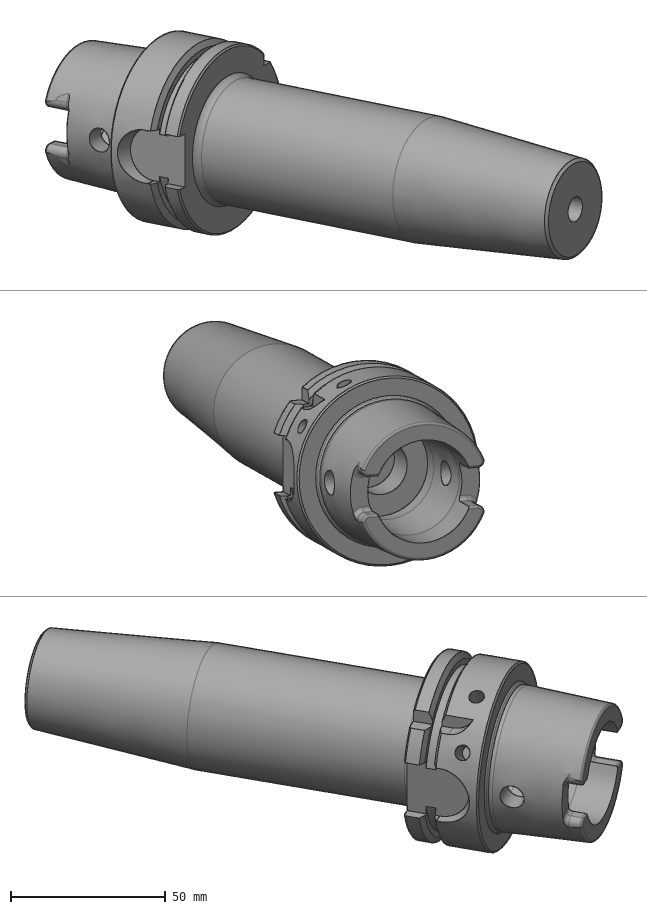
import cadquery as cq
import math

total_length = 192.0
flange_start = 32.0
flange_end = 58.0
taper_start = 135.0

tail_end_radius = 22.8
tail_root_radius = 24.2
tail_taper_end = 29.5
tail_edge_round = 0.8
root_flare_start = 31.0
root_flare_bend = 31.5
root_flare_bend_radius = 24.8
root_flare_radius = 25.2

flange_radius = 31.5
flange_chamfer = 0.5
groove_floor_start = 48.2
groove_floor_end = 51.5
groove_floor_radius = 27.5
groove_bevel_radius = 29.4
groove_bevel_slope = math.tan(math.radians(30))

body_radius = 21.0
body_root_round = 3.8
body_root_radius = 22.0
nose_radius = 16.7
nose_chamfer = 1.0

mouth_radius = 17.0
mouth_depth = 12.5
cavity_radius = 16.1
cavity_cone_end = 32.6
cavity_depth = 38.4
socket_radius = 9.0
socket_depth = 50.0
channel_radius = 4.2

slot_half_width = 6.3
slot_lip_round = 2.3
slot_lip_circle = 23.0
slot_flare_length = 8.6
slot_corner_round = 1.5
slot_inner_reach = 11.5
slot_outer_reach = 30.7
deep_slot_length = 10.0
shallow_slot_length = 6.1

margin = 0.2

cross_hole_x = 23.0
cross_hole_radius = 4.0

keyway_floor = 26.5
keyway_floor_end = 36.9
keyway_tilt = 20.0
keyway_reach = 9.6
narrow_keyway_width = 18.0
wide_keyway_width = 20.0

notch_offset = 20.0
notch_floor_start = 44.5
notch_cutter_radius = 7.7
screw_hole_x = 38.8
screw_hole_radius = 2.5
screw_hole_depth = 8.6
screw_hole_angles = (24, 60)


def make_body():
    bevel = (flange_radius - groove_bevel_radius) * groove_bevel_slope
    root_round_length = math.sqrt(
        body_root_round**2 - (body_root_round - body_root_radius + body_radius) ** 2
    )
    mid_angle = math.asin(root_round_length / body_root_round) / 2
    root_round_end = flange_end + root_round_length
    root_round_mid = (
        root_round_end - body_root_round * math.sin(mid_angle),
        body_radius + body_root_round * (1 - math.cos(mid_angle)),
    )
    profile = (
        cq.Workplane("XY")
        .moveTo(0, 0)
        .lineTo(0, tail_end_radius)
        .lineTo(tail_taper_end, tail_root_radius)
        .lineTo(root_flare_start, tail_root_radius)
        .lineTo(root_flare_bend, root_flare_bend_radius)
        .lineTo(flange_start, root_flare_radius)
        .lineTo(flange_start, flange_radius - flange_chamfer)
        .lineTo(flange_start + flange_chamfer, flange_radius)
        .lineTo(groove_floor_start - bevel, flange_radius)
        .lineTo(groove_floor_start, groove_bevel_radius)
        .lineTo(groove_floor_start, groove_floor_radius)
        .lineTo(groove_floor_end, groove_floor_radius)
        .lineTo(groove_floor_end, groove_bevel_radius)
        .lineTo(groove_floor_end + bevel, flange_radius)
        .lineTo(flange_end - flange_chamfer, flange_radius)
        .lineTo(flange_end, flange_radius - flange_chamfer)
        .lineTo(flange_end, body_root_radius)
        .threePointArc(root_round_mid, (root_round_end, body_radius))
        .lineTo(taper_start, body_radius)
        .lineTo(total_length - nose_chamfer, nose_radius)
        .lineTo(total_length, nose_radius - nose_chamfer)
        .lineTo(total_length, 0)
        .close()
    )
    return profile.revolve(360, (0, 0, 0), (1, 0, 0))


def make_cavity():
    profile = (
        cq.Workplane("XY")
        .moveTo(0, 0)
        .lineTo(0, mouth_radius)
        .lineTo(mouth_depth, mouth_radius)
        .lineTo(cavity_cone_end, cavity_radius)
        .lineTo(cavity_depth, cavity_radius)
        .lineTo(cavity_depth, socket_radius)
        .lineTo(socket_depth, socket_radius)
        .lineTo(socket_depth, channel_radius)
        .lineTo(total_length, channel_radius)
        .lineTo(total_length, 0)
        .close()
    )
    return profile.revolve(360, (0, 0, 0), (1, 0, 0))


def make_drive_slot(length, side):
    """Slot whose outer lips are rounded into the tail surface; side is the sign of Y."""
    lip_z = slot_half_width + slot_lip_round
    lip_angle = math.asin(lip_z / (slot_lip_circle - slot_lip_round))
    lip_y = (slot_lip_circle - slot_lip_round) * math.cos(lip_angle)

    def on_lip(angle):
        return (
            lip_y + slot_lip_round * math.cos(angle),
            lip_z + slot_lip_round * math.sin(angle),
        )

    wall_end = (lip_y, slot_half_width)
    lip_mid = on_lip((lip_angle - math.pi / 2) / 2)
    lip_end = on_lip(lip_angle)
    flare_end = (
        lip_end[0] - slot_flare_length * math.sin(lip_angle),
        lip_end[1] + slot_flare_length * math.cos(lip_angle),
    )

    def place(point, mirror=1):
        return (side * point[0], mirror * point[1])

    slot = (
        cq.Workplane("YZ")
        .moveTo(*place((slot_inner_reach, -slot_half_width)))
        .lineTo(*place((slot_inner_reach, slot_half_width)))
        .lineTo(*place(wall_end))
        .threePointArc(place(lip_mid), place(lip_end))
        .lineTo(*place(flare_end))
        .lineTo(*place((slot_outer_reach, flare_end[1])))
        .lineTo(*place((slot_outer_reach, -flare_end[1])))
        .lineTo(*place(flare_end, -1))
        .lineTo(*place(lip_end, -1))
        .threePointArc(place(lip_mid, -1), place(wall_end, -1))
        .close()
        .extrude(length)
    )
    half_height = 2 * lip_z
    end_wall_edges = cq.selectors.BoxSelector(
        (length - margin, side * (slot_inner_reach + margin), -half_height),
        (length + margin, side * (slot_outer_reach - margin), half_height),
    )
    return slot.faces(">X").edges(end_wall_edges).fillet(slot_corner_round)


def round_tail_end(part):
    """Round the outer rim of the tail end, around the slot lips as well."""

    def off_bore(edge):
        return edge.geomType() == "LINE" or abs(edge.radius() - mouth_radius) > margin

    return part.faces("<X").edges().filter(off_bore).fillet(tail_edge_round)


def make_keyway(width, side):
    """Flat-floored keyway, open toward +X, with a round end leaning outward toward -X."""
    lean = keyway_reach * math.tan(math.radians(keyway_tilt))
    radius = width / 2
    centre = keyway_floor_end + radius
    box = (
        cq.Workplane("XY")
        .box(flange_end - centre, keyway_reach, width, centered=(False, True, True))
        .translate((centre, side * (keyway_floor + keyway_reach / 2), 0))
    )
    base = cq.Wire.makeCircle(
        radius, cq.Vector(centre, side * keyway_floor, 0), cq.Vector(0, side, 0)
    )
    leaning_end = cq.Solid.extrudeLinear(
        base, [], cq.Vector(-lean, side * keyway_reach, 0)
    )
    return box.union(cq.Workplane(leaning_end))


def make_notch():
    """Square corner notch along X in the +Y +Z quadrant, run out by a disc cutter."""
    size = flange_radius
    straight = (
        cq.Workplane("XY")
        .box(flange_end - notch_floor_start, size, size, centered=False)
        .translate((notch_floor_start, notch_offset, notch_offset))
    )
    disc_centre = (notch_floor_start, notch_offset, notch_offset + notch_cutter_radius)
    disc = (
        cq.Workplane("XZ", origin=disc_centre)
        .circle(notch_cutter_radius)
        .extrude(-size)
    )
    return straight.union(disc)


def make_screw_hole(angle):
    """Blind radial hole in the flange rim, angle in degrees from +Z toward +Y."""
    return (
        cq.Workplane("XY")
        .circle(screw_hole_radius)
        .extrude(flange_radius)
        .translate((screw_hole_x, 0, flange_radius - screw_hole_depth))
        .rotate((0, 0, 0), (1, 0, 0), -angle)
    )


cross_hole = (
    cq.Workplane("XZ")
    .center(cross_hole_x, 0)
    .circle(cross_hole_radius)
    .extrude(2 * tail_root_radius, both=True)
)

result = make_body().cut(make_cavity())
result = result.cut(make_drive_slot(deep_slot_length, -1))
result = result.cut(make_drive_slot(shallow_slot_length, 1))
result = round_tail_end(result)
result = result.cut(cross_hole)
result = result.cut(make_keyway(narrow_keyway_width, -1))
result = result.cut(make_keyway(wide_keyway_width, 1))
result = result.cut(make_notch())
for hole_angle in screw_hole_angles:
    result = result.cut(make_screw_hole(hole_angle))